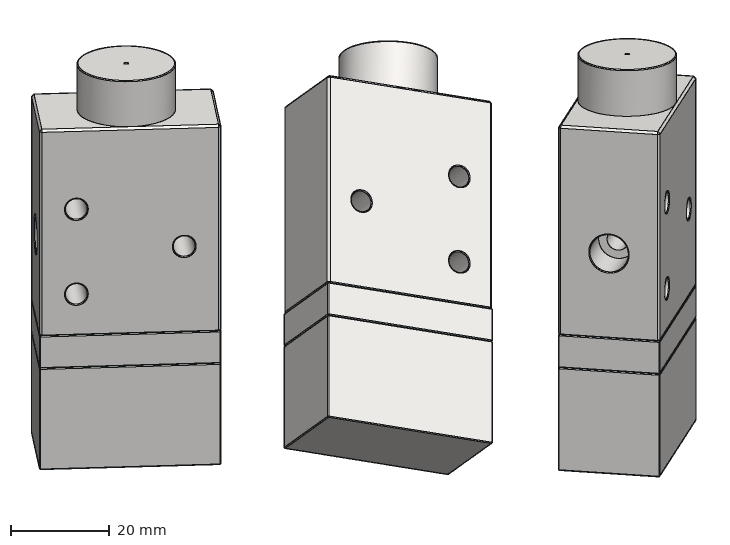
import cadquery as cq

TURN_ANGLE = -29.5

BLOCK_WIDTH = 21.05
BLOCK_LENGTH = 37.0

BASE_HEIGHT = 22.05
PLATE_HEIGHT = 7.05
KNOB_HEIGHT = 10.0
TOTAL_HEIGHT = 83.85
HOUSING_HEIGHT = TOTAL_HEIGHT - BASE_HEIGHT - PLATE_HEIGHT - KNOB_HEIGHT
HOUSING_BOTTOM = BASE_HEIGHT + PLATE_HEIGHT
HOUSING_TOP = HOUSING_BOTTOM + HOUSING_HEIGHT

HOUSING_CHAMFER = 0.5
FINE_CHAMFER = 0.2

KNOB_DIAMETER = 20.0
KNOB_HOLE_DIAMETER = 0.8
KNOB_HOLE_DEPTH = 0.8

PORT_HEIGHT = 47.2
PORT_DIAMETER = 8.0
PORT_DEPTH = 9.0
BORE_DIAMETER = 4.45

MOUNT_DIAMETER = 4.45
MOUNT_OFFSET = 11.0
PAIR_SPACING = 18.45
SINGLE_HEIGHT = 47.7
MOUNT_PLACES = [
    (-MOUNT_OFFSET, PORT_HEIGHT - PAIR_SPACING / 2),
    (-MOUNT_OFFSET, PORT_HEIGHT + PAIR_SPACING / 2),
    (MOUNT_OFFSET, SINGLE_HEIGHT),
]


def turned(body):
    """Turn a body from its square position to its final one."""
    return body.rotate((0, 0, 0), (0, 0, 1), TURN_ANGLE)


def block(bottom, height):
    """Block with the common footprint, standing square on the given level."""
    blank = cq.Workplane("XY", origin=(0, 0, bottom))
    return blank.box(BLOCK_WIDTH, BLOCK_LENGTH, height, centered=(True, True, False))


def make_base():
    return turned(block(0, BASE_HEIGHT).edges().chamfer(FINE_CHAMFER))


def make_plate():
    return turned(block(BASE_HEIGHT, PLATE_HEIGHT).edges().chamfer(FINE_CHAMFER))


def mouth_cut(face, diameter):
    """Cone that breaks the rim of a hole; the body lies along the normal of the face."""
    rim = face.circle(diameter / 2 + FINE_CHAMFER)
    return rim.workplane(offset=FINE_CHAMFER).circle(diameter / 2).loft(ruled=True)


def port_cut():
    """Port from the -Y face, then a narrower bore on to the middle of the block."""
    face = cq.Workplane("ZX", origin=(0, -BLOCK_LENGTH / 2, PORT_HEIGHT))
    port = face.circle(PORT_DIAMETER / 2).extrude(PORT_DEPTH)
    bore = face.circle(BORE_DIAMETER / 2).extrude(BLOCK_LENGTH / 2)
    return port.union(bore).union(mouth_cut(face, PORT_DIAMETER))


def mount_cut(along, height):
    """Hole straight through the block along X, with a broken rim at both ends."""
    near_face = cq.Workplane("YZ", origin=(-BLOCK_WIDTH / 2, along, height))
    hole = near_face.circle(MOUNT_DIAMETER / 2).extrude(BLOCK_WIDTH)
    near_mouth = mouth_cut(near_face, MOUNT_DIAMETER)
    far_mouth = near_mouth.mirror("YZ")
    return hole.union(near_mouth).union(far_mouth)


def make_housing():
    body = block(HOUSING_BOTTOM, HOUSING_HEIGHT)
    body = body.edges("|Z or >Z").chamfer(HOUSING_CHAMFER)
    body = body.faces("<Z").chamfer(FINE_CHAMFER)
    body = body.cut(port_cut())
    for along, height in MOUNT_PLACES:
        body = body.cut(mount_cut(along, height))
    return turned(body)


def make_knob():
    body = cq.Workplane("XY", origin=(0, 0, HOUSING_TOP)).circle(KNOB_DIAMETER / 2).extrude(KNOB_HEIGHT)
    body = body.faces(">Z").chamfer(FINE_CHAMFER)
    return body.faces(">Z").workplane().hole(KNOB_HOLE_DIAMETER, KNOB_HOLE_DEPTH)


base = make_base()
plate = make_plate()
housing = make_housing()
knob = make_knob()

result = cq.Compound.makeCompound([base.val(), plate.val(), housing.val(), knob.val()])